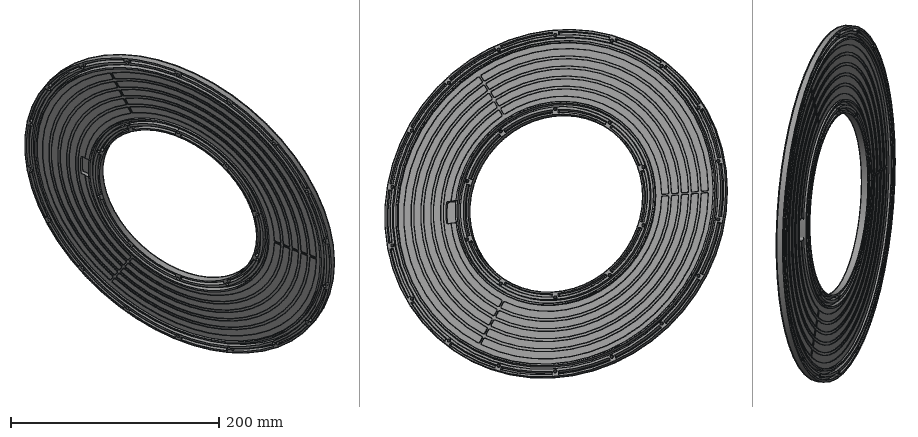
import cadquery as cq
import math

outer_radius = 172.0
bore_radius = 88.0
total_depth = 7.5
boss_height = 1.0
plate_thickness = total_depth - boss_height
front_y = -total_depth / 2
back_y = front_y + plate_thickness
rim_chamfer_depth = 0.93
rim_chamfer_width = 0.5

draft_angle = 10.0

screw_diameter = 3.0
outer_screw_count = 18
outer_screw_circle = 166.8
inner_screw_count = 10
inner_screw_circle = 93.5
first_screw_angle = 90.0
trough_depth = 4.0
outer_trough_rim_radius = 170.0
outer_trough_screw_radius = 166.8
inner_trough_rim_radius = 89.8
inner_trough_screw_radius = 93.0
trough_end_clearance = 3.0

groove_depth = 3.8
outer_groove_flange_radius = 164.5
outer_groove_lip_radius = 161.0
inner_groove_flange_radius = 95.5
inner_groove_lip_radius = 99.0

panel_inner_radius = 100.8
panel_outer_radius = 159.2
panel_depth = 2.25

track_count = 5
track_pitch = 10.0
track_width = 7.2
first_track_radius = 110.0
track_depth = 0.7
track_segments = 3
track_gap = 1.7
first_track_gap_angle = 0.0
track_corner_radius = 1.5

pocket_inner_radius = panel_inner_radius
pocket_outer_radius = 111.0
pocket_half_height = 11.0
pocket_corner_radius = 2.0
pocket_angle = 180.0
boss_wall = 2.5


def turned(points, angle=360.0):
    """Solid of revolution about the Y axis from (radius, Y) corners, starting at +X."""
    return cq.Workplane("XY").polyline(points).close().revolve(angle, (0, 0, 0), (0, 1, 0))


def ring(inner, outer, y_start, y_end):
    """Flat ring about the Y axis between two Y levels."""
    return turned([(inner, y_start), (outer, y_start), (outer, y_end), (inner, y_end)])


def arc_sector(radii, half_angles, middle_angle, start_y, depth):
    """Ring sector running from start_y toward +Y.

    radii and half_angles (degrees) hold the inner and the outer value; middle_angle turns from +X to +Z.
    """
    inner, outer = radii
    inner_half, outer_half = half_angles

    def point(radius, angle):
        turn = math.radians(middle_angle + angle)
        return (radius * math.cos(turn), radius * math.sin(turn))

    outline = (
        cq.Workplane("XZ", origin=(0, start_y, 0))
        .moveTo(*point(inner, -inner_half))
        .lineTo(*point(outer, -outer_half))
        .threePointArc(point(outer, 0), point(outer, outer_half))
        .lineTo(*point(inner, inner_half))
        .threePointArc(point(inner, 0), point(inner, -inner_half))
        .close()
    )
    return outline.extrude(-depth)


def divided_ring(radii, count, gap, start_angle, start_y, depth, corner_radius):
    """Ring split into equal sectors with parallel-sided gaps centred on start_angle and its repeats."""
    pitch = 360 / count
    half_angles = [pitch / 2 - math.degrees(math.asin(gap / 2 / radius)) for radius in radii]
    sectors = cq.Workplane("XZ")
    for index in range(count):
        middle = start_angle + (index + 0.5) * pitch
        sector = arc_sector(radii, half_angles, middle, start_y, depth)
        sectors = sectors.add(sector.edges("|Y").fillet(corner_radius))
    return sectors.combine()


def pocket_sector(radii, half_height, start_y, depth):
    """Ring sector on the -X side with ends at a given half height."""
    half_angles = [math.degrees(math.asin(half_height / radius)) for radius in radii]
    return arc_sector(radii, half_angles, pocket_angle, start_y, depth)


def plate():
    disc = ring(bore_radius, outer_radius, front_y, back_y)
    rear_rim = disc.faces(">Y").edges(cq.selectors.RadiusNthSelector(-1))
    return rear_rim.chamfer(rim_chamfer_depth, rim_chamfer_width)


def half_drafted_groove(straight_radius, drafted_radius, depth, angle=360.0):
    """Groove with one straight wall and one wall leaning in toward it with depth."""
    floor_y = front_y + depth
    draft_run = depth * math.tan(math.radians(draft_angle))
    toward_straight = math.copysign(draft_run, straight_radius - drafted_radius)
    corners = [
        (straight_radius, front_y),
        (drafted_radius, front_y),
        (drafted_radius + toward_straight, floor_y),
        (straight_radius, floor_y),
    ]
    return turned(corners, angle)


def screw_holes(circle_radius, count):
    centres = cq.Workplane("XZ", origin=(0, front_y, 0)).polarArray(
        circle_radius, first_screw_angle, 360, count
    )
    return centres.circle(screw_diameter / 2).extrude(-plate_thickness)


def flange_troughs(rim_radius, screw_side_radius, count):
    """Trough segments filling the arcs between neighbouring screws."""
    pitch = 360 / count
    end_angle = math.degrees(trough_end_clearance / screw_side_radius)
    segment = half_drafted_groove(rim_radius, screw_side_radius, trough_depth, pitch - 2 * end_angle)
    segments = cq.Workplane("XZ")
    for index in range(count):
        angle = first_screw_angle + index * pitch + end_angle
        segments = segments.add(segment.rotate((0, 0, 0), (0, 1, 0), angle))
    return segments.combine()


def panel_track(middle_radius):
    radii = (middle_radius - track_width / 2, middle_radius + track_width / 2)
    floor_y = front_y + panel_depth
    return divided_ring(
        radii, track_segments, track_gap, first_track_gap_angle, floor_y, track_depth, track_corner_radius
    )


boss = pocket_sector(
    (pocket_inner_radius - boss_wall, pocket_outer_radius + boss_wall),
    pocket_half_height + boss_wall,
    front_y,
    total_depth,
)
pocket = pocket_sector(
    (pocket_inner_radius, pocket_outer_radius), pocket_half_height, front_y, plate_thickness
)
pocket = pocket.edges("|Y").fillet(pocket_corner_radius)

result = plate().union(boss)
result = result.cut(half_drafted_groove(outer_groove_flange_radius, outer_groove_lip_radius, groove_depth))
result = result.cut(half_drafted_groove(inner_groove_flange_radius, inner_groove_lip_radius, groove_depth))
result = result.cut(ring(panel_inner_radius, panel_outer_radius, front_y, front_y + panel_depth))
result = result.cut(flange_troughs(outer_trough_rim_radius, outer_trough_screw_radius, outer_screw_count))
result = result.cut(flange_troughs(inner_trough_rim_radius, inner_trough_screw_radius, inner_screw_count))
result = result.cut(screw_holes(outer_screw_circle, outer_screw_count))
result = result.cut(screw_holes(inner_screw_circle, inner_screw_count))
for track in range(track_count):
    result = result.cut(panel_track(first_track_radius + track * track_pitch))
result = result.cut(pocket)